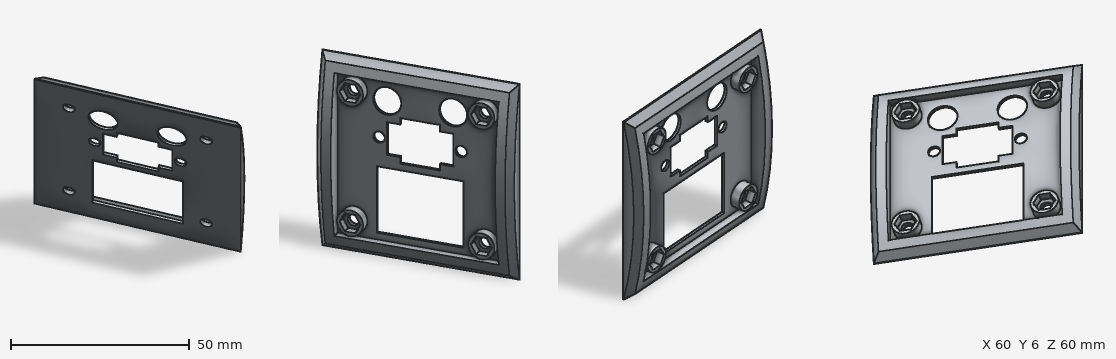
import cadquery as cq
import math

size = 60.0
depth = 6.0
half = size / 2

barrel_edge_depth = 2.35
edge_chamfer = 2.0

rim_width = 5.0
face_thickness = 0.9
hollow_size = size - 2 * rim_width

post_offset = 20.0
post_diameter = 8.0
post_top = 4.0
screw_diameter = 3.5

nut_across_flats = 5.5
nut_across_corners = nut_across_flats / math.cos(math.pi / 6)
nut_floor = 1.5

round_diameter = 8.5
round_x = 10.0
round_z = 18.0

connector_z = 6.5
connector_wide = (20.15, 10.0)
connector_tall = (12.1, 14.0)
connector_screw_x = 12.5

window_width = 26.4
window_height = 20.4
window_z = -12.8


def slab(width, height, start, end, z=0.0):
    """Box centred on X = 0 that spans Y from start to end."""
    return cq.Workplane("XY").box(width, end - start, height).translate((0, (start + end) / 2, z))


def cylinders(points, diameter, start, end):
    """Cylinders along Y at the given (x, z) points."""
    plane = cq.Workplane("XZ", origin=(0, start, 0))
    return plane.pushPoints(points).circle(diameter / 2).extrude(start - end)


plate = (
    cq.Workplane("YZ", origin=(-half, 0, 0))
    .moveTo(0, -half)
    .lineTo(barrel_edge_depth, -half)
    .threePointArc((depth, 0), (barrel_edge_depth, half))
    .lineTo(0, half)
    .close()
    .extrude(size)
    .faces(">Y")
    .edges()
    .chamfer(edge_chamfer)
)

plate = plate.cut(slab(hollow_size, hollow_size, face_thickness, depth))
corners = [(x, z) for x in (-post_offset, post_offset) for z in (-post_offset, post_offset)]
plate = plate.union(cylinders(corners, post_diameter, 0, post_top))
nut_plane = cq.Workplane("XZ", origin=(0, nut_floor, 0))
plate = plate.cut(nut_plane.pushPoints(corners).polygon(6, nut_across_corners).extrude(nut_floor - depth))

connector_screws = [(-connector_screw_x, connector_z), (connector_screw_x, connector_z)]
plate = plate.cut(cylinders(corners + connector_screws, screw_diameter, 0, depth))
plate = plate.cut(cylinders([(-round_x, round_z), (round_x, round_z)], round_diameter, 0, depth))
for width, height in (connector_wide, connector_tall):
    plate = plate.cut(slab(width, height, 0, depth, connector_z))
plate = plate.cut(slab(window_width, window_height, 0, depth, window_z))

result = plate